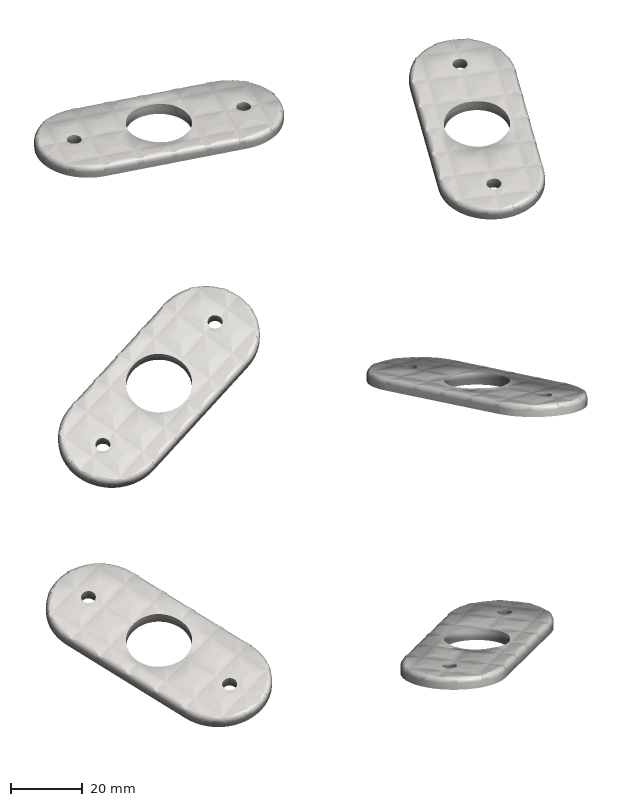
import cadquery as cq

length = 72.0
width = 30.0
height = 3.5
end_radius = width / 2
end_centre_y = length / 2 - end_radius

pitch = 10.0
pattern_shift_y = -0.3
valley_half_width = 1.7
plateau_inset = 3.25
valley_rise = 0.15
shoulder_rise = 0.11
floor_height = height - valley_rise - shoulder_rise
columns = 4
rows = 8

pillow_radius = 1.65
web_radius = 1.3
web_width = 1.8
side_webs = 5
end_web_angles = (36, 72, 108, 144)

bore_diameter = 18.5
screw_hole_diameter = 4.2
screw_spacing = 50.0


def rounded_plate(rim_radius):
    """Slot-shaped plate with its top rim rounded."""
    plate = cq.Workplane("XY").slot2D(length, width, 90).extrude(height)
    return plate.faces(">Z").edges().fillet(rim_radius)


def ridged_slab(plane, cells, depth):
    """Slab whose top repeats V-shaped valley, shoulder and plateau across its width."""
    start = -cells / 2 * pitch
    end = start + cells * pitch
    shoulder_height = floor_height + valley_rise
    profile = cq.Workplane(plane).moveTo(start, 0).lineTo(start, floor_height)
    for cell in range(cells):
        left = start + cell * pitch
        right = left + pitch
        profile = profile.lineTo(left + valley_half_width, shoulder_height)
        profile = profile.lineTo(left + plateau_inset, height)
        profile = profile.lineTo(right - plateau_inset, height)
        profile = profile.lineTo(right - valley_half_width, shoulder_height)
        profile = profile.lineTo(right, floor_height)
    profile = profile.lineTo(end, 0).close()
    return profile.extrude(depth / 2, both=True)


def web_block(across):
    """Block as wide as a web, long enough to reach past the rim and the faces."""
    return cq.Workplane("XY").box(across, web_width, 3 * height)


def web_zones():
    """Blocks across the plate, and around both ends, where the webs lie."""
    zones = cq.Workplane("XY")
    for index in range(side_webs):
        y = (index - (side_webs - 1) / 2) * pitch + pattern_shift_y
        zones = zones.add(web_block(2 * width).translate((0, y, 0)))
    for end in (1, -1):
        for angle in end_web_angles:
            web = web_block(width).translate((width / 2, 0, 0))
            web = web.rotate((0, 0, 0), (0, 0, 1), end * angle)
            zones = zones.add(web.translate((0, end * end_centre_y, 0)))
    return zones.combine()


body = rounded_plate(pillow_radius).union(rounded_plate(web_radius).intersect(web_zones()))

column_slab = ridged_slab("XZ", columns, 2 * length)
row_slab = ridged_slab("YZ", rows, 2 * length).translate((0, pattern_shift_y, 0))
body = body.intersect(column_slab).intersect(row_slab)

bore = cq.Workplane("XY").circle(bore_diameter / 2).extrude(height)
screw_holes = (
    cq.Workplane("XY")
    .rarray(0.7, screw_spacing, 1, 2)
    .circle(screw_hole_diameter / 2)
    .extrude(height)
)
result = body.cut(bore).cut(screw_holes)